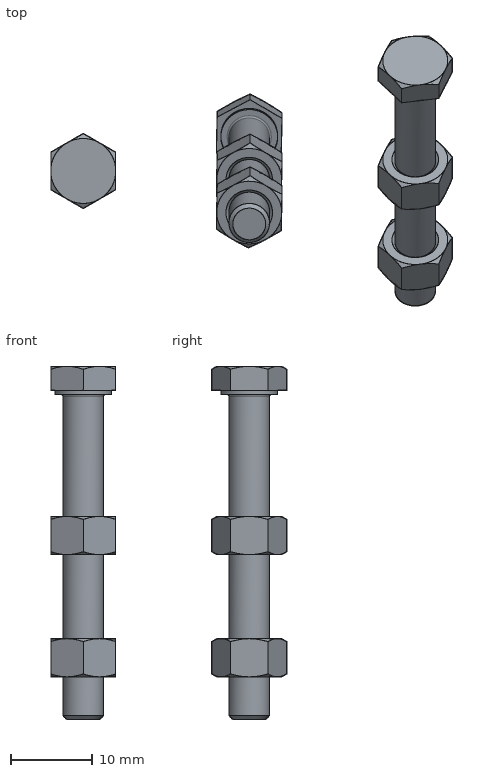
import cadquery as cq
import math

total_length = 43.5
across_flats = 8.0
shank_diameter = 5.0
tip_chamfer = 0.5

head_height = 2.95
washer_face_diameter = 7.0
washer_face_height = 0.52
neck_fillet = 0.2

nut_height = 4.7
nut_countersink_diameter = 5.75
lower_nut_height_above_tip = 5.25
nut_spacing = 15.05

bevel_angle = math.radians(30)

across_corners = across_flats / math.cos(math.pi / 6)
corner_bevel_height = (across_corners - across_flats) / 2 * math.tan(bevel_angle)

tip_z = -total_length / 2
head_top_z = total_length / 2
head_base_z = head_top_z - head_height
washer_face_z = head_base_z - washer_face_height
lower_nut_z = tip_z + lower_nut_height_above_tip


def bevelled_hexagon(base_z, height, bevel_base):
    """Hexagonal prism with corners on Y, bevelled on top and optionally below."""
    hexagon = (
        cq.Workplane("XY", origin=(0, 0, base_z))
        .polygon(6, across_corners)
        .extrude(height)
        .rotate((0, 0, 0), (0, 0, 1), 30)
    )
    flat_radius = across_flats / 2
    corner_radius = across_corners / 2
    top_z = base_z + height
    profile = cq.Workplane("XZ").moveTo(0, base_z)
    if bevel_base:
        profile = profile.lineTo(flat_radius, base_z).lineTo(corner_radius, base_z + corner_bevel_height)
    else:
        profile = profile.lineTo(corner_radius, base_z)
    envelope = (
        profile.lineTo(corner_radius, top_z - corner_bevel_height)
        .lineTo(flat_radius, top_z)
        .lineTo(0, top_z)
        .close()
        .revolve(360, (0, 0, 0), (0, 1, 0))
    )
    return hexagon.intersect(envelope)


def make_nut(base_z):
    """Nut with its hole countersunk at 45 degrees on both faces."""
    hole_radius = shank_diameter / 2
    mouth_radius = nut_countersink_diameter / 2
    countersink_depth = mouth_radius - hole_radius
    top_z = base_z + nut_height
    hole = (
        cq.Workplane("XZ")
        .polyline([
            (0, base_z),
            (mouth_radius, base_z),
            (hole_radius, base_z + countersink_depth),
            (hole_radius, top_z - countersink_depth),
            (mouth_radius, top_z),
            (0, top_z),
        ])
        .close()
        .revolve(360, (0, 0, 0), (0, 1, 0))
    )
    return bevelled_hexagon(base_z, nut_height, bevel_base=True).cut(hole)


def make_shank():
    """Round shank with washer face, neck fillet and chamfered tip."""
    shank_radius = shank_diameter / 2
    fillet_inset = neck_fillet * (1 - math.sqrt(0.5))
    return (
        cq.Workplane("XZ")
        .moveTo(0, tip_z)
        .lineTo(shank_radius - tip_chamfer, tip_z)
        .lineTo(shank_radius, tip_z + tip_chamfer)
        .lineTo(shank_radius, washer_face_z - neck_fillet)
        .threePointArc(
            (shank_radius + fillet_inset, washer_face_z - fillet_inset),
            (shank_radius + neck_fillet, washer_face_z),
        )
        .lineTo(washer_face_diameter / 2, washer_face_z)
        .lineTo(washer_face_diameter / 2, head_base_z)
        .lineTo(0, head_base_z)
        .close()
        .revolve(360, (0, 0, 0), (0, 1, 0))
    )


result = make_shank().union(bevelled_hexagon(head_base_z, head_height, bevel_base=False))
for nut_index in range(2):
    result = result.union(make_nut(lower_nut_z + nut_index * nut_spacing))